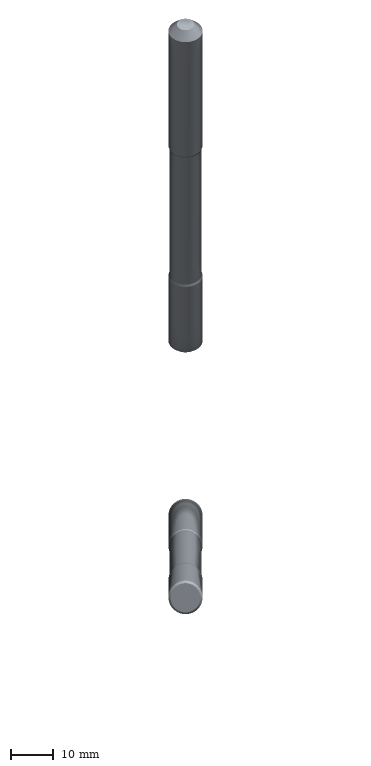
import cadquery as cq

length = 100.0
radius = 4.0
base_chamfer = 0.5

tip_height = 2.0
tip_end_radius = radius - tip_height
shaft_length = length - tip_height

waist_radius = 3.8
waist_bottom = 21.0
waist_top = 62.0
waist_cone_height = 0.6

axis_start = (0, 0, 0)
axis_end = (0, 1, 0)


def make_shaft():
    """Round shaft with a chamfered base and a relieved waist."""
    profile = (
        cq.Workplane("YZ")
        .moveTo(0, 0)
        .lineTo(-radius + base_chamfer, 0)
        .lineTo(-radius, base_chamfer)
        .lineTo(-radius, waist_bottom)
        .lineTo(-waist_radius, waist_bottom + waist_cone_height)
        .lineTo(-waist_radius, waist_top - waist_cone_height)
        .lineTo(-radius, waist_top)
        .lineTo(-radius, shaft_length)
        .lineTo(0, shaft_length)
        .close()
    )
    return profile.revolve(360, axis_start, axis_end)


def make_tip():
    """Truncated cone seated on the flat upper end of the shaft."""
    profile = (
        cq.Workplane("YZ")
        .moveTo(0, shaft_length)
        .lineTo(-radius, shaft_length)
        .lineTo(-tip_end_radius, length)
        .lineTo(0, length)
        .close()
    )
    return profile.revolve(360, axis_start, axis_end)


shaft = make_shaft()
tip = make_tip()

result = cq.Compound.makeCompound([shaft.val(), tip.val()])